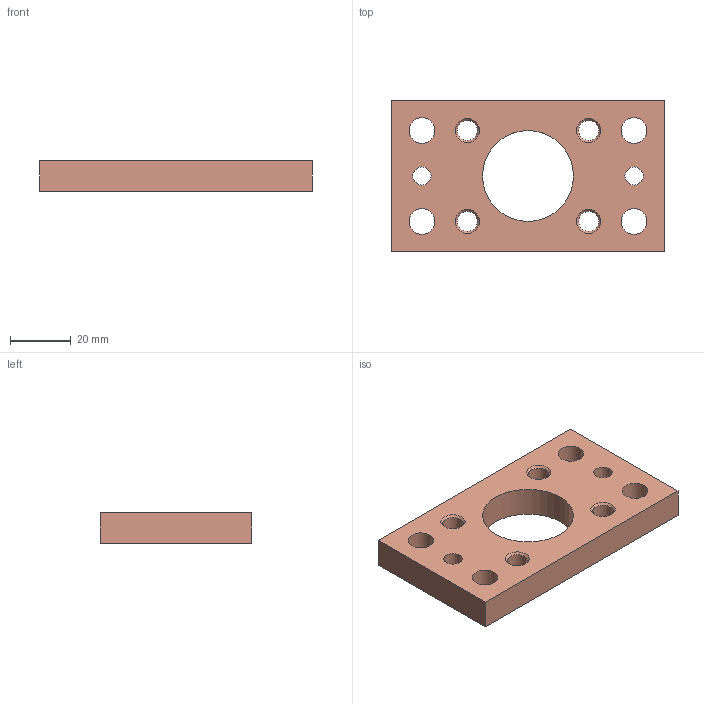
import cadquery as cq

length = 90.0
width = 50.0
thickness = 10.0

bore_diameter = 30.0

outer_hole_x = 35.0
inner_hole_x = 20.0
hole_row_y = 15.0

clearance_diameter = 8.5
dowel_diameter = 6.0
tapped_diameter = 6.647
countersink_diameter = 8.0
countersink_angle = 90.0


def corner_points(x, y):
    """Four points placed symmetrically about the plate centre."""
    return [(sx * x, sy * y) for sx in (-1, 1) for sy in (-1, 1)]


def make_plate():
    return cq.Workplane("XY").box(length, width, thickness)


def cut_bore(body):
    return body.faces(">Z").workplane().hole(bore_diameter)


def cut_clearance_holes(body):
    points = corner_points(outer_hole_x, hole_row_y)
    return body.faces(">Z").workplane().pushPoints(points).hole(clearance_diameter)


def cut_dowel_holes(body):
    points = [(-outer_hole_x, 0), (outer_hole_x, 0)]
    return body.faces(">Z").workplane().pushPoints(points).hole(dowel_diameter)


def cut_tapped_holes(body):
    """Through holes with a countersunk mouth on the top face."""
    points = corner_points(inner_hole_x, hole_row_y)
    top = body.faces(">Z").workplane().pushPoints(points)
    return top.cskHole(tapped_diameter, countersink_diameter, countersink_angle)


result = make_plate()
result = cut_bore(result)
result = cut_clearance_holes(result)
result = cut_dowel_holes(result)
result = cut_tapped_holes(result)